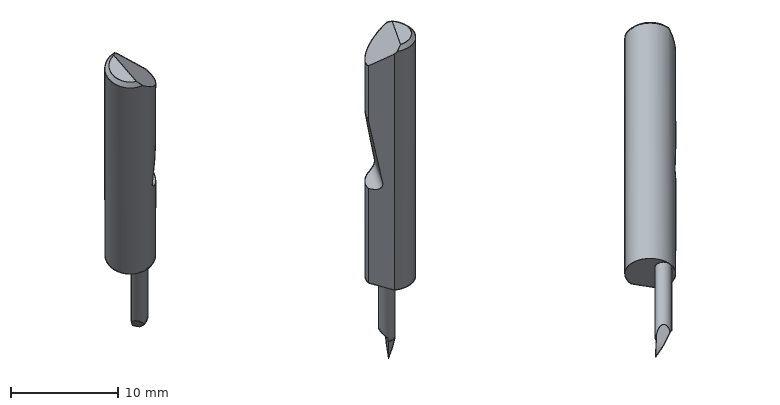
import cadquery as cq
import math

shank_diameter = 4.76
shank_radius = shank_diameter / 2
overall_length = 37.88
neck_length = 10.0
shank_length = overall_length - neck_length
top_chamfer = 0.4

top_slope_start_y = -0.58

flat_low_y = 0.08
flat_high_x = -0.8

notch_wall_z = 10.88
notch_start_z = 19.45
notch_angle = 10.0
notch_fillet = 0.9

neck_diameter = 1.58
neck_radius = neck_diameter / 2
neck_x = shank_radius - neck_radius

rake_y = 0.04
tip_x = 0.6
tip_z = -neck_length
tip_height = 1.8
tip_depth = neck_radius / 2
rake_ramp_height = 2.15

side_lean = 0.06
side_relief = 0.8
end_facets = [
    (0.90, 1.05, 0.0),
    (1.20, 1.35, -0.26),
    (1.50, 1.65, -0.58),
]

cut_size = 4 * overall_length


def half_space(point, outward):
    """Large block starting at a plane and lying on its outward side."""
    plane = cq.Plane(origin=point, normal=outward)
    return cq.Workplane(plane).rect(cut_size, cut_size).extrude(cut_size)


def make_shank():
    shank = cq.Workplane("XY").circle(shank_radius).extrude(shank_length)
    shank = shank.faces(">Z").chamfer(top_chamfer)
    return shank.cut(half_space((0, top_slope_start_y, shank_length), (0, 1, 1)))


def cut_flat(body):
    flat_low_x = -math.sqrt(shank_radius**2 - flat_low_y**2)
    flat_high_y = math.sqrt(shank_radius**2 - flat_high_x**2)
    chord_x = flat_high_x - flat_low_x
    chord_y = flat_high_y - flat_low_y
    return body.cut(half_space((flat_low_x, flat_low_y, 0), (-chord_y, chord_x, 0)))


def cut_notch(body):
    slope = math.radians(notch_angle)
    wall_length = (notch_start_z - notch_wall_z) * math.sin(slope)
    corner_y = shank_radius - wall_length * math.cos(slope)
    corner_z = notch_wall_z + wall_length * math.sin(slope)
    notch = (
        cq.Workplane("YZ")
        .moveTo(shank_radius, notch_start_z)
        .lineTo(corner_y, corner_z)
        .lineTo(shank_radius, notch_wall_z)
        .close()
        .extrude(shank_radius, both=True)
        .edges("|X and <Y")
        .fillet(notch_fillet)
    )
    return body.cut(notch)


def make_neck():
    return cq.Workplane("XY").center(neck_x, 0).circle(neck_radius).extrude(-neck_length)


def add_tip(neck):
    """Widen the neck to the tip point, then grind the side, rake and end faces."""
    blank_width = neck_x - tip_x
    tip_blank = cq.Workplane("XY").box(blank_width, tip_depth, tip_height, centered=False)
    tip_blank = tip_blank.translate((tip_x, rake_y - tip_depth, tip_z))
    side_cut = half_space((tip_x, rake_y, tip_z), (-1, -side_relief, side_lean))
    ledge_z = tip_z + tip_height
    side_cut = side_cut.cut(half_space((tip_x, rake_y, ledge_z), (0, 0, 1)))

    rake_cut = half_space((tip_x, rake_y, tip_z), (0, 1, 0))
    rake_cut = rake_cut.intersect(half_space((tip_x, rake_y, tip_z + rake_ramp_height), (0, 1, -1)))

    front_half = half_space((tip_x, rake_y, tip_z), (0, -1, 0))
    tip = neck.union(tip_blank).cut(side_cut).cut(rake_cut)
    for rise, relief, offset in end_facets:
        facet_cut = half_space((tip_x, rake_y, tip_z + offset), (rise, -relief, -1))
        tip = tip.cut(facet_cut.intersect(front_half))
    return tip


shank = cut_notch(cut_flat(make_shank()))
result = shank.union(add_tip(make_neck()))